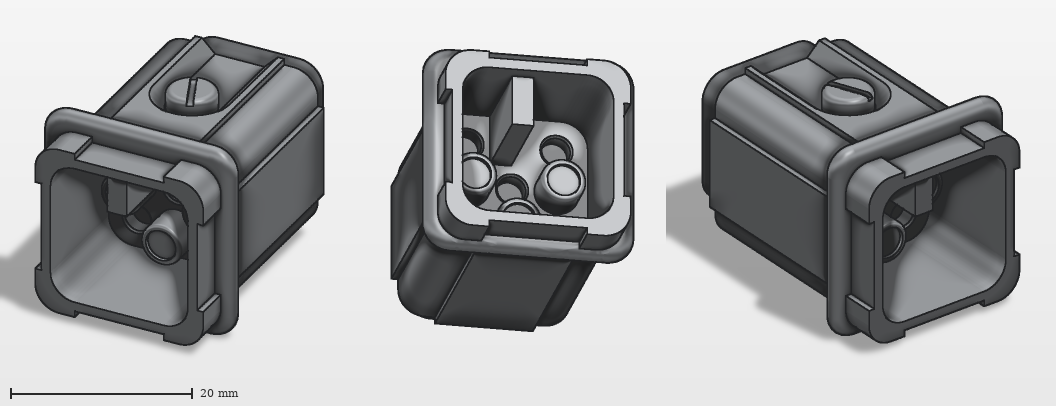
import cadquery as cq

corner_radius = 3.0
shell_width = 20.8
panel_width = 11.0
panel_height = 0.75
core_width = shell_width - 2 * panel_height

collar_length = 4.22
ring_width = 2.35
body_end = 29.0
overall_length = 33.5
plug_width = 16.0

ring_outer = 23.7
ring_bulge = 1.4
ring_offset = 0.53
ring_center = collar_length + ring_width / 2
ring_crown_width = ring_outer - 2 * ring_bulge

cavity_width = 17.0
cavity_depth = 14.0
rib_left = -2.5
rib_right = -0.1
rib_bottom = 2.8
rib_start = 2.0

contact_pitch = 5.0
hole_diameter = 3.7
hole_floor_diameter = 3.2
hole_chamfer = (hole_diameter - hole_floor_diameter) / 2
hole_depth = 2.0
pin_diameter = 5.0
pin_length = 4.0
pin_rounding = 0.42
pin_recess_diameter = 3.7
pin_recess_depth = 0.5

screw_y = 17.5
screw_diameter = 5.85
screw_top = 11.15
screw_rounding = 0.7
screw_slot_width = 0.75
screw_slot_depth = 0.6
screw_slot_angle = 112.5
slot_top_width = 9.4
slot_floor_width = 6.1
slot_depth = 1.65


def rounded_bar(width, radius, start, end):
    """Square bar along Y with rounded long edges."""
    bar = cq.Workplane("XY").box(width, end - start, width)
    return bar.edges("|Y").fillet(radius).translate((0, (start + end) / 2, 0))


def side_strips(start, end):
    """Four strips, one on each flat side, between the core and shell widths."""
    center = (core_width + panel_height) / 2
    strip = cq.Workplane("XY").box(panel_width, end - start, panel_height)
    strip = strip.translate((0, (start + end) / 2, center))
    strips = strip
    for turn in (90, 180, 270):
        strips = strips.union(strip.rotate((0, 0, 0), (0, 1, 0), turn))
    return strips


def shell():
    collar = rounded_bar(shell_width, corner_radius, 0, ring_center)
    collar = collar.cut(side_strips(0, ring_center))
    body = rounded_bar(core_width, corner_radius, ring_center, body_end)
    body = body.union(side_strips(ring_center, body_end))
    plug = rounded_bar(plug_width, corner_radius, body_end, overall_length)
    return collar.union(body).union(plug)


def sealing_ring():
    crown_radius = corner_radius - ring_bulge
    half = ring_crown_width / 2
    band = rounded_bar(ring_crown_width, crown_radius, collar_length, collar_length + ring_width)
    half_band = rounded_bar(ring_crown_width, crown_radius, collar_length, ring_center)
    path = half_band.faces(">Y").wires()
    bead = cq.Workplane("YZ", origin=(0, ring_center, half)).ellipse(ring_width / 2, ring_bulge)
    bead = bead.sweep(path)
    return band.union(bead).translate((0, 0, ring_offset))


def key_rib():
    rib = cq.Workplane("XY").box(
        rib_right - rib_left,
        cavity_depth - rib_start,
        cavity_width / 2 - rib_bottom,
        centered=False,
    )
    return rib.translate((rib_left, rib_start, rib_bottom))


def floor_plane():
    """Plane on the cavity floor, facing the mouth."""
    return cq.Workplane("XZ", origin=(0, cavity_depth, 0))


def contact_holes():
    sides = (-contact_pitch, contact_pitch)
    corners = [(x, z) for x in sides for z in sides]
    places = corners + [(0, 0)]
    bores = floor_plane().pushPoints(places).circle(hole_floor_diameter / 2).extrude(-hole_depth)
    mouth = cq.Solid.makeCone(
        hole_diameter / 2,
        hole_floor_diameter / 2,
        hole_chamfer,
        pnt=cq.Vector(0, cavity_depth, 0),
        dir=cq.Vector(0, 1, 0),
    )
    for x, z in places:
        bores = bores.union(cq.Workplane(mouth.translate(cq.Vector(x, 0, z))))
    return bores


def contact_pins():
    places = [(-contact_pitch, 0), (contact_pitch, 0), (0, -contact_pitch)]
    pins = floor_plane().pushPoints(places).circle(pin_diameter / 2).extrude(pin_length)
    pins = pins.faces("<Y").edges().fillet(pin_rounding)
    tip = floor_plane().workplane(offset=pin_length).pushPoints(places)
    return pins.cut(tip.circle(pin_recess_diameter / 2).extrude(-pin_recess_depth))


def screw_slot():
    """Flared slot running from the screw to the rear of the body."""
    top = shell_width / 2
    floor = top - slot_depth
    length = body_end - screw_y
    half_top = slot_top_width / 2
    half_floor = slot_floor_width / 2
    section = [(-half_top, top), (half_top, top), (half_floor, floor), (-half_floor, floor)]
    channel = cq.Workplane("XZ", origin=(0, screw_y, 0)).polyline(section).close().extrude(-length)
    end = cq.Solid.makeCone(half_floor, half_top, slot_depth, pnt=cq.Vector(0, screw_y, floor))
    return channel.union(cq.Workplane(end))


def screw_head():
    floor = shell_width / 2 - slot_depth
    head = cq.Workplane("XY", origin=(0, screw_y, floor)).circle(screw_diameter / 2)
    head = head.extrude(screw_top - floor).faces(">Z").edges().fillet(screw_rounding)
    groove = cq.Workplane("XY").box(2 * screw_diameter, screw_slot_width, 2 * screw_slot_depth)
    groove = groove.rotate((0, 0, 0), (0, 0, 1), screw_slot_angle)
    return head.cut(groove.translate((0, screw_y, screw_top)))


part = shell().union(sealing_ring())
part = part.cut(rounded_bar(cavity_width, corner_radius, 0, cavity_depth))
part = part.union(key_rib())
part = part.cut(contact_holes()).union(contact_pins())
part = part.cut(screw_slot()).union(screw_head())
result = part